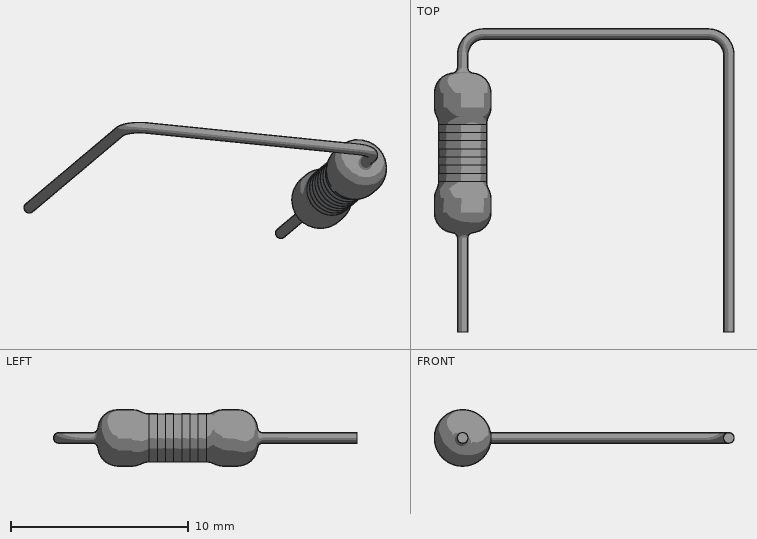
import cadquery as cq
import math

wire_diameter = 0.6
wire_radius = wire_diameter / 2
lead_pitch = 15.0
lead_length = 17.1
bend_radius = 1.2

body_start = 5.6
body_length = 9.0
cap_radius = 3.2 / 2
waist_radius = 2.72 / 2
band_radius = 2.74 / 2
dome_radius = 1.14
neck_fillet = 0.3
cap_land = 0.82
shoulder_length = 0.94

band_count = 4

body_middle = body_start + body_length / 2
neck_radius = wire_radius + neck_fillet
dome_centre_radius = cap_radius - dome_radius
dome_length = math.sqrt(dome_radius**2 - (neck_radius - dome_centre_radius) ** 2)
half_waist = body_length / 2 - dome_length - cap_land - shoulder_length
band_width = 2 * half_waist / (2 * band_count - 1)
wire_far_line = lead_length - wire_radius
bend_start = wire_far_line - bend_radius


def arc_middle(centre_r, centre_y, radius, start, end):
    """Point on a circle halfway between two of its points."""
    middle_r = (start[0] + end[0]) / 2 - centre_r
    middle_y = (start[1] + end[1]) / 2 - centre_y
    stretch = radius / math.hypot(middle_r, middle_y)
    return (centre_r + middle_r * stretch, centre_y + middle_y * stretch)


def make_half_body():
    """Half of the body from its middle plane to the +Y end, centred on the origin."""
    waist_end = (waist_radius, half_waist)
    shoulder_middle = ((waist_radius + cap_radius) / 2, half_waist + shoulder_length / 2)
    cap_start = (cap_radius, half_waist + shoulder_length)
    cap_end = (cap_radius, cap_start[1] + cap_land)
    dome_end = (neck_radius, body_length / 2)
    neck_end = (wire_radius, body_length / 2 + neck_fillet)

    shoulder_drop = cap_radius - waist_radius
    shoulder_radius = (shoulder_length**2 + shoulder_drop**2) / (4 * shoulder_drop)
    hollow_middle = arc_middle(
        waist_radius + shoulder_radius, waist_end[1], shoulder_radius, waist_end, shoulder_middle
    )
    crown_middle = arc_middle(
        cap_radius - shoulder_radius, cap_start[1], shoulder_radius, shoulder_middle, cap_start
    )
    dome_middle = arc_middle(dome_centre_radius, cap_end[1], dome_radius, cap_end, dome_end)
    neck_middle = arc_middle(neck_radius, neck_end[1], neck_fillet, dome_end, neck_end)

    return (
        cq.Workplane("XY")
        .lineTo(waist_radius, 0)
        .lineTo(*waist_end)
        .threePointArc(hollow_middle, shoulder_middle)
        .threePointArc(crown_middle, cap_start)
        .lineTo(*cap_end)
        .threePointArc(dome_middle, dome_end)
        .threePointArc(neck_middle, neck_end)
        .lineTo(0, neck_end[1])
        .close()
        .revolve(360, (0, 0, 0), (0, 1, 0))
    )


def make_band(start_y):
    """Colour band disc, slightly proud of the waist."""
    return cq.Workplane("XZ", origin=(0, start_y, 0)).circle(band_radius).extrude(-band_width)


def make_body():
    half_body = make_half_body()
    body = half_body.union(half_body.mirror("XZ"))
    for index in range(band_count):
        body = body.union(make_band(-half_waist + 2 * index * band_width))
    return body.translate((0, body_middle, 0))


def make_wire():
    """Both leads and the bent link between them, as one swept round wire."""
    bend_offset = bend_radius * (1 - math.sqrt(0.5))
    path = (
        cq.Workplane("XY")
        .lineTo(0, bend_start)
        .threePointArc((bend_offset, wire_far_line - bend_offset), (bend_radius, wire_far_line))
        .lineTo(lead_pitch - bend_radius, wire_far_line)
        .threePointArc(
            (lead_pitch - bend_offset, wire_far_line - bend_offset), (lead_pitch, bend_start)
        )
        .lineTo(lead_pitch, 0)
    )
    return cq.Workplane("XZ").circle(wire_radius).sweep(path)


result = make_wire().union(make_body())